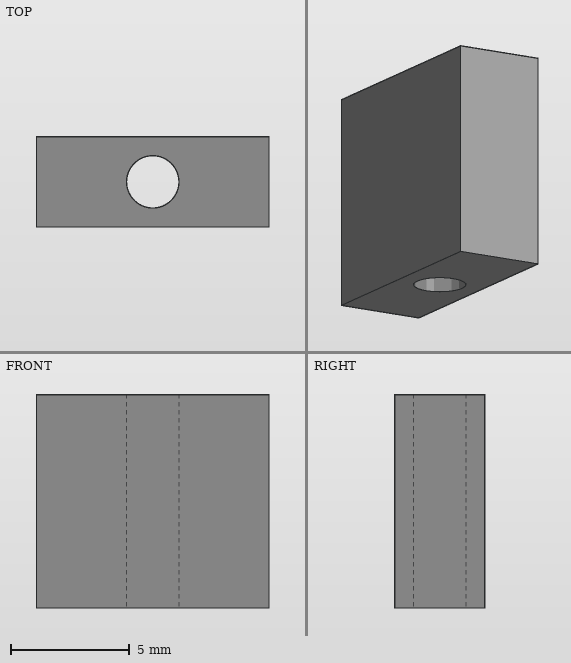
import cadquery as cq

width = 9.8
depth = 3.8
height = 9.0

hole_diameter = 2.2

block = cq.Workplane("XY").box(width, depth, height)

result = block.faces(">Z").workplane().hole(hole_diameter)